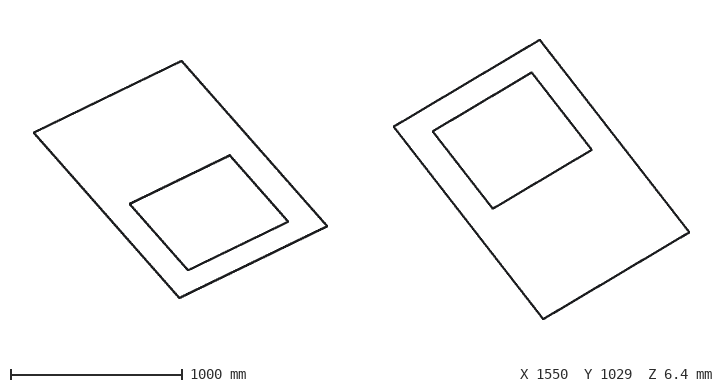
import cadquery as cq

panel_length = 1550.0
panel_width = 1029.0
panel_thickness = 6.4

window_length = 623.0
window_width = 697.0
right_margin = 153.0
front_margin = 161.0

window_center_x = panel_length / 2 - right_margin - window_length / 2
window_center_y = -panel_width / 2 + front_margin + window_width / 2

panel = cq.Workplane("XY").rect(panel_length, panel_width).extrude(panel_thickness)

window = (
    cq.Workplane("XY")
    .center(window_center_x, window_center_y)
    .rect(window_length, window_width)
    .extrude(panel_thickness)
)

result = panel.cut(window)